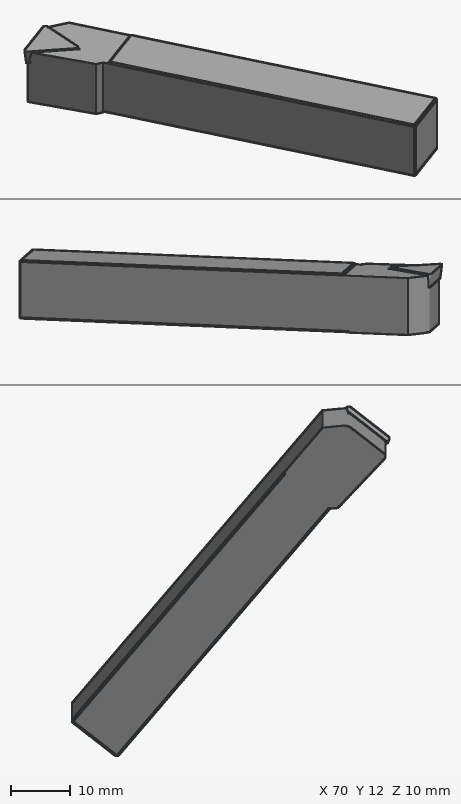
import cadquery as cq
import math

LENGTH = 70.0
SHANK_SIZE = 10.0
SHANK_CHAMFER = 0.3
SHANK_START_X = 13.6

INSERT_THICKNESS = 2.4
INSERT_CLEARANCE = 7.0
NOSE_RADIUS = 0.4
TIP_Y = -1.95
INSERT_SIDE = 9.65
INSERT_HEIGHT = INSERT_SIDE * math.sqrt(3) / 2
NOSE_LOSS = NOSE_RADIUS * (math.sqrt(3) - 1)
SHARP_TIP_Y = TIP_Y - NOSE_LOSS

HEAD_TOP_Z = SHANK_SIZE - SHANK_CHAMFER
HEAD_TOP_END_X = 14.4
HEAD_FRONT_X = 0.35
BACK_CORNER_SIZE = 3.0
BACK_CORNER_RADIUS = 1.95
FRONT_CORNER_RADIUS = 0.6
HEAD_SIDE_FRONT_Y = -1.55
HEAD_SIDE_REAR_Y = -0.9
FLARE_START_X = SHANK_START_X + HEAD_SIDE_REAR_Y


def insert_triangle():
    """Sharp triangle on the insert's top plane."""
    return cq.Workplane("XY", origin=(0, 0, SHANK_SIZE)).polyline([
        (0, SHARP_TIP_Y),
        (INSERT_HEIGHT, SHARP_TIP_Y + INSERT_SIDE / 2),
        (0, SHARP_TIP_Y + INSERT_SIDE),
    ]).close()


def make_insert():
    """Triangular insert, rounded at the corners and narrowing downwards."""
    sharp_plate = insert_triangle().extrude(-INSERT_THICKNESS)
    rounded_plate = sharp_plate.edges("|Z").fillet(NOSE_RADIUS)
    top_outline = rounded_plate.faces(">Z").wires().val()
    return (
        cq.Workplane("XY", origin=(0, 0, SHANK_SIZE))
        .add(top_outline).toPending()
        .extrude(-INSERT_THICKNESS, taper=INSERT_CLEARANCE)
    )


def make_shank():
    """Square bar chamfered along its length and around its rear end."""
    bar = cq.Workplane("XY").box(
        LENGTH - SHANK_START_X, SHANK_SIZE, SHANK_SIZE, centered=False
    ).translate((SHANK_START_X, 0, 0))
    bar = bar.edges("|X or >X").chamfer(SHANK_CHAMFER)

    lowered_strip = (
        cq.Workplane("XZ")
        .polyline([
            (SHANK_START_X, HEAD_TOP_Z),
            (HEAD_TOP_END_X, HEAD_TOP_Z),
            (HEAD_TOP_END_X + SHANK_CHAMFER, SHANK_SIZE),
            (SHANK_START_X, SHANK_SIZE),
        ])
        .close()
        .extrude(-SHANK_SIZE)
    )
    return bar.cut(lowered_strip)


def make_head():
    """Flared head with a cut-off back corner and rounded front edges."""
    head = (
        cq.Workplane("XY")
        .polyline([
            (HEAD_FRONT_X, HEAD_SIDE_FRONT_Y),
            (FLARE_START_X, HEAD_SIDE_REAR_Y),
            (SHANK_START_X, 0),
            (SHANK_START_X, SHANK_SIZE),
            (HEAD_FRONT_X + BACK_CORNER_SIZE, SHANK_SIZE),
            (HEAD_FRONT_X, SHANK_SIZE - BACK_CORNER_SIZE),
        ])
        .close()
        .extrude(HEAD_TOP_Z)
    )
    back_corner = (HEAD_FRONT_X, SHANK_SIZE - BACK_CORNER_SIZE, HEAD_TOP_Z / 2)
    front_corner = (HEAD_FRONT_X, HEAD_SIDE_FRONT_Y, HEAD_TOP_Z / 2)
    head = head.edges(cq.NearestToPointSelector(back_corner)).fillet(BACK_CORNER_RADIUS)
    return head.edges(cq.NearestToPointSelector(front_corner)).fillet(FRONT_CORNER_RADIUS)


def make_holder():
    """Shank and head in one piece, with a sharp-cornered pocket for the insert."""
    pocket = insert_triangle().extrude(-INSERT_THICKNESS, taper=INSERT_CLEARANCE)
    return make_shank().union(make_head()).cut(pocket)


holder = make_holder()
insert = make_insert()

result = cq.Compound.makeCompound([holder.solids().val(), insert.val()])